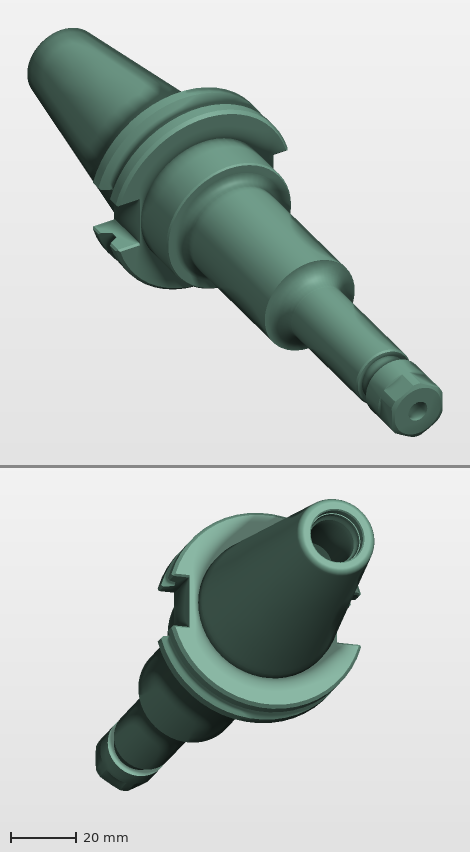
import cadquery as cq
import math


gauge_dia = 44.45
taper_length = 68.25
taper_ratio = 7 / 24
taper_end_round = 2.0

flange_dia = 63.55
flange_start = 3.2
flange_end = 19.1
flange_chamfer = 1.0
groove_centre = 11.1
groove_floor_dia = 56.25
groove_floor_width = 2.8
groove_side_angle = 30

slot_width = 16.1
slot_edge_chamfer = 0.6
front_slot_depth_y = 22.5
back_slot_depth_y = 25.0

collar_end = 35.0
collar_chamfer = 0.5
body_dia = 32.0
body_root_fillet = 3.0
body_end = 84.0
stem_dia = 19.5
stem_root_fillet = 6.0
stem_end = 129.2
stem_chamfer = 0.5
neck_dia = 15.5
neck_end = 135.0

through_dia = 6.65
mouth_dia = 17.6
pilot_dia = 16.8
pilot_depth = 3.0
relief_dia = 16.2
relief_depth = 4.6
thread_dia = 14.5
thread_depth = 28.0
thread_lead_angle = 30
drill_point_angle = 118

nut_dia = stem_dia
nut_end = 150.0
nut_chamfer_length = 0.6
nut_chamfer_depth = 1.5
hex_start = 142.5
hex_across_flats = 18.0
hex_shoulder_angle = 30

gauge_r = gauge_dia / 2
taper_end_r = gauge_r - taper_length * taper_ratio / 2
flange_r = flange_dia / 2
through_r = through_dia / 2


def holder_blank():
    """Solid of revolution: taper, flange, collar, body, stem and neck."""
    body_r = body_dia / 2
    stem_r = stem_dia / 2
    neck_r = neck_dia / 2
    floor_r = groove_floor_dia / 2
    half_floor = groove_floor_width / 2
    half_mouth = half_floor + (flange_r - floor_r) * math.tan(math.radians(groove_side_angle))
    profile = (
        cq.Workplane("XY")
        .moveTo(-taper_length, 0)
        .lineTo(-taper_length, taper_end_r)
        .lineTo(0, gauge_r)
        .lineTo(flange_start, gauge_r)
        .lineTo(flange_start, flange_r - flange_chamfer)
        .lineTo(flange_start + flange_chamfer, flange_r)
        .lineTo(groove_centre - half_mouth, flange_r)
        .lineTo(groove_centre - half_floor, floor_r)
        .lineTo(groove_centre + half_floor, floor_r)
        .lineTo(groove_centre + half_mouth, flange_r)
        .lineTo(flange_end - flange_chamfer, flange_r)
        .lineTo(flange_end, flange_r - flange_chamfer)
        .lineTo(flange_end, gauge_r)
        .lineTo(collar_end - collar_chamfer, gauge_r)
        .lineTo(collar_end, gauge_r - collar_chamfer)
        .lineTo(collar_end, body_r + body_root_fillet)
        .radiusArc((collar_end + body_root_fillet, body_r), -body_root_fillet)
        .lineTo(body_end, body_r)
        .lineTo(body_end, stem_r + stem_root_fillet)
        .radiusArc((body_end + stem_root_fillet, stem_r), -stem_root_fillet)
        .lineTo(stem_end - stem_chamfer, stem_r)
        .lineTo(stem_end, stem_r - stem_chamfer)
        .lineTo(stem_end, neck_r)
        .lineTo(neck_end, neck_r)
        .lineTo(neck_end, 0)
        .close()
    )
    blank = profile.revolve(360, (0, 0, 0), (1, 0, 0))
    return blank.faces("<X").edges().fillet(taper_end_round)


def bore():
    """Stepped bore: chamfered pilot, relief, threaded hole with drill point, through hole."""
    pilot_r = pilot_dia / 2
    relief_r = relief_dia / 2
    thread_r = thread_dia / 2
    mouth_chamfer = mouth_dia / 2 - pilot_r
    thread_lead = (relief_r - thread_r) / math.tan(math.radians(thread_lead_angle))
    point_length = (thread_r - through_r) / math.tan(math.radians(drill_point_angle / 2))
    pilot_end = -taper_length + pilot_depth
    relief_end = -taper_length + relief_depth
    thread_end = -taper_length + thread_depth
    return (
        cq.Workplane("XY")
        .moveTo(-taper_length, 0)
        .lineTo(-taper_length, mouth_dia / 2)
        .lineTo(-taper_length + mouth_chamfer, pilot_r)
        .lineTo(pilot_end, pilot_r)
        .lineTo(pilot_end, relief_r)
        .lineTo(relief_end, relief_r)
        .lineTo(relief_end + thread_lead, thread_r)
        .lineTo(thread_end, thread_r)
        .lineTo(thread_end + point_length, through_r)
        .lineTo(neck_end, through_r)
        .lineTo(neck_end, 0)
        .close()
        .revolve(360, (0, 0, 0), (1, 0, 0))
    )


def drive_slot(side, floor_y):
    """Slot through the whole flange on one Y side, from its floor out past the rim."""
    slot_depth = flange_r - floor_y
    flange_middle = (flange_start + flange_end) / 2
    return cq.Workplane("XY", origin=(flange_middle, side * flange_r, 0)).box(
        flange_end - flange_start, 2 * slot_depth, slot_width
    )


def rim_bevel(side):
    """Flared cutter that bevels both edges where one slot breaks through the rim at 45 degrees."""
    half_width = slot_width / 2
    half_mouth = half_width + slot_edge_chamfer
    mouth_y = math.sqrt(flange_r**2 - half_mouth**2)
    return (
        cq.Workplane("YZ", origin=(flange_start, 0, 0))
        .moveTo(side * (mouth_y - slot_edge_chamfer), -half_width)
        .lineTo(side * mouth_y, -half_mouth)
        .lineTo(side * flange_r, -half_mouth)
        .lineTo(side * flange_r, half_mouth)
        .lineTo(side * mouth_y, half_mouth)
        .lineTo(side * (mouth_y - slot_edge_chamfer), half_width)
        .close()
        .extrude(flange_end - flange_start)
    )


def tool_holder():
    holder = holder_blank().cut(bore())
    for side, floor_y in ((-1, front_slot_depth_y), (1, back_slot_depth_y)):
        holder = holder.cut(drive_slot(side, floor_y))
    holder = holder.edges("|Y").chamfer(slot_edge_chamfer)
    for side in (-1, 1):
        holder = holder.cut(rim_bevel(side))
    return holder


def clamping_nut():
    """Round nut with a hexagonal front; two of its flats face along Y."""
    nut_r = nut_dia / 2
    flat_r = hex_across_flats / 2
    shoulder_length = (nut_r - flat_r) * math.tan(math.radians(hex_shoulder_angle))
    outline = (
        cq.Workplane("XY")
        .moveTo(neck_end, through_r)
        .lineTo(neck_end, nut_r)
        .lineTo(nut_end - nut_chamfer_length, nut_r)
        .lineTo(nut_end, nut_r - nut_chamfer_depth)
        .lineTo(nut_end, through_r)
        .close()
        .revolve(360, (0, 0, 0), (1, 0, 0))
    )
    round_part = (
        cq.Workplane("XY")
        .moveTo(neck_end, 0)
        .lineTo(neck_end, nut_r)
        .lineTo(hex_start, nut_r)
        .lineTo(hex_start + shoulder_length, flat_r)
        .lineTo(hex_start + shoulder_length, 0)
        .close()
        .revolve(360, (0, 0, 0), (1, 0, 0))
    )
    hex_part = (
        cq.Workplane("YZ", origin=(hex_start, 0, 0))
        .polygon(6, hex_across_flats, circumscribed=True)
        .extrude(nut_end - hex_start)
    )
    return outline.intersect(round_part.union(hex_part))


holder = tool_holder()
nut = clamping_nut()
result = cq.Compound.makeCompound([holder.val(), nut.val()])